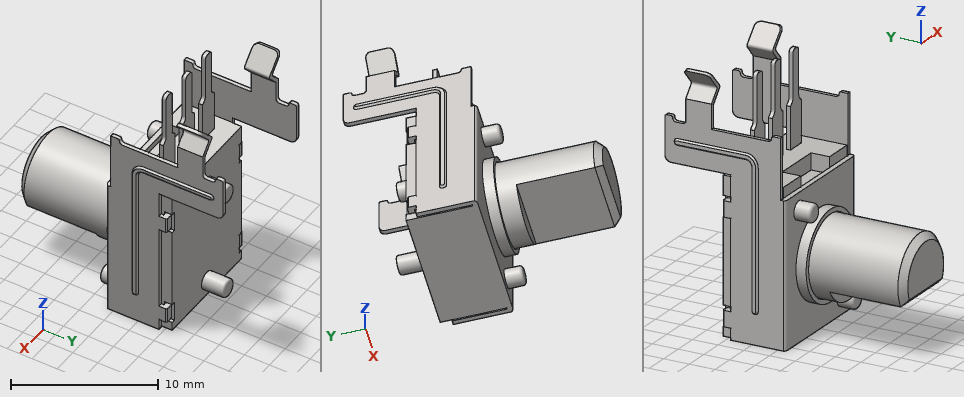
import cadquery as cq
import math


OVERALL_HEIGHT = 19.3

PLATE_HALF_WIDTH = 4.85
FRAME_HALF_HEIGHT = 5.5
PLATE_THICKNESS = 0.4
PLATE_CORNER_RADIUS = 0.37
HOUSING_HALF_WIDTH = 4.44
HOUSING_TOP = 6.3
HOUSING_BACK = 5.08
TOP_POCKET_HALF_WIDTH = 2.0
TOP_POCKET_BACK = 1.85
TOP_POCKET_DEPTH = 1.25

SIDE_THICKNESS = 0.3
SIDE_INNER = PLATE_HALF_WIDTH - SIDE_THICKNESS
SIDE_TOP = 9.63
SIDE_BACK = 4.27
LOBE_BACK = 9.4
LOBE_BOTTOM = 6.6
LOBE_CORNER_RADIUS = 0.5
EAR_ROUND = 0.15
EAR_FILLET = 0.25
EAR_TOP = SIDE_TOP + EAR_ROUND + EAR_FILLET
BACK_EAR_WIDTH = 0.62
FRONT_EAR_WIDTH = 0.7

CLIP_CENTER_Y = 6.77
CLIP_WIDTH = 2.0
CLIP_BACK = CLIP_CENTER_Y + CLIP_WIDTH / 2
CLIP_FRONT = CLIP_CENTER_Y - CLIP_WIDTH / 2
CLIP_BEND_RADIUS = 0.2
CLIP_TIP_RADIUS = 0.4
CLIP_TIP_X = 5.23
CLIP_TIP_INNER_X = 4.96
CLIP_TIP_Z = 13.7
CLIP_TOP = OVERALL_HEIGHT - FRAME_HALF_HEIGHT

LATCH_Z = 4.01
LATCH_HEIGHT = 1.2
LATCH_BACK = 4.9
LATCH_CHAMFER = 0.1
LATCH_HOOK_X = 4.25
NOTCH_HEIGHT = 1.58
NOTCH_FRONT = 4.45
NOTCH_X = 4.15

RIB_HEIGHT = 0.15
RIB_WIDTH = 0.5
RIB_TOP_WIDTH = 0.27
RIB_Z = 8.2
RIB_Y = 2.37
RIB_BACK = 8.67
RIB_BOTTOM = -3.25
RIB_BEND_RADIUS = 0.7

PIN_PITCH = 2.5
PIN_FRONT = 3.32
PIN_THICKNESS = 0.3
PIN_HALF_WIDTH = 0.75
PIN_TIP_HALF_WIDTH = 0.4
PIN_SHOULDER_HALF_WIDTH = 0.56
PIN_SHOULDER_BASE = 9.48
PIN_SHOULDER_EDGE = 9.65
PIN_SHOULDER_TOP = 9.94
PIN_SHOULDER_RADIUS = 0.35
PIN_TOP = 13.51
PIN_TIP_RADIUS = 0.29

PEG_RADIUS = 0.7
PEG_Z = 4.2
FRONT_PEG_X = 3.0
FRONT_PEG_LENGTH = 1.25
FRONT_PEG_ROUND = 0.25
BACK_PEG_LENGTH = 1.74
BACK_PEG_ROUND = 0.15

BUSH_RADIUS = 3.4
BUSH_LENGTH = 0.8
BORE_RADIUS = 3.05
SHAFT_RADIUS = 3.0
SHAFT_TIP = -8.2
SHAFT_FLAT_Z = -1.5
SHAFT_FLAT_START = -2.18
SHAFT_CHAMFER = 0.5


def box(x_range, y_range, z_range):
    """Box between two limits along each axis."""
    size = [high - low for low, high in (x_range, y_range, z_range)]
    return cq.Workplane("XY").box(*size, centered=False).translate((x_range[0], y_range[0], z_range[0]))


def cylinder(radius, y_start, y_end, x=0, z=0):
    """Cylinder along Y from y_start to y_end."""
    return (
        cq.Workplane("XZ", origin=(x, y_start, z))
        .circle(radius)
        .extrude(y_start - y_end)
    )


def make_front_plate():
    """Front plate with its two upright edges rounded where they bend into the side plates."""
    arc_depth = PLATE_CORNER_RADIUS - math.sqrt(PLATE_CORNER_RADIUS**2 - SIDE_THICKNESS**2)
    return (
        cq.Workplane("XY", origin=(0, 0, -FRAME_HALF_HEIGHT))
        .moveTo(-SIDE_INNER, 0)
        .lineTo(SIDE_INNER, 0)
        .radiusArc((PLATE_HALF_WIDTH, arc_depth), -PLATE_CORNER_RADIUS)
        .lineTo(PLATE_HALF_WIDTH, PLATE_THICKNESS)
        .lineTo(-PLATE_HALF_WIDTH, PLATE_THICKNESS)
        .lineTo(-PLATE_HALF_WIDTH, arc_depth)
        .radiusArc((-SIDE_INNER, 0), -PLATE_CORNER_RADIUS)
        .close()
        .extrude(2 * FRAME_HALF_HEIGHT)
    )


def make_housing_block():
    """Plain block with a pocket in its top and notches in its sides for the latch tabs."""
    block = box(
        (-HOUSING_HALF_WIDTH, HOUSING_HALF_WIDTH),
        (PLATE_THICKNESS, HOUSING_BACK),
        (-FRAME_HALF_HEIGHT, HOUSING_TOP),
    )
    block = block.cut(box(
        (-TOP_POCKET_HALF_WIDTH, TOP_POCKET_HALF_WIDTH),
        (PLATE_THICKNESS, TOP_POCKET_BACK),
        (HOUSING_TOP - TOP_POCKET_DEPTH, HOUSING_TOP),
    ))
    for z in (-LATCH_Z, LATCH_Z):
        notch = box(
            (NOTCH_X, HOUSING_HALF_WIDTH),
            (NOTCH_FRONT, HOUSING_BACK),
            (z - NOTCH_HEIGHT / 2, z + NOTCH_HEIGHT / 2),
        )
        block = block.cut(notch).cut(notch.mirror("YZ"))
    return block


def make_side_sheet():
    """Flat part of the +X side plate, with the two ears at its top and the lobe at its back."""
    back_ear_front = LOBE_BACK - BACK_EAR_WIDTH
    front_ear_back = PLATE_THICKNESS + FRONT_EAR_WIDTH
    round_start = EAR_TOP - EAR_ROUND
    fillet_end = SIDE_TOP + EAR_FILLET
    return (
        cq.Workplane("YZ", origin=(SIDE_INNER, 0, 0))
        .moveTo(PLATE_THICKNESS, -FRAME_HALF_HEIGHT)
        .lineTo(PLATE_THICKNESS, EAR_TOP)
        .lineTo(front_ear_back - EAR_ROUND, EAR_TOP)
        .radiusArc((front_ear_back, round_start), EAR_ROUND)
        .radiusArc((front_ear_back + EAR_FILLET, SIDE_TOP), -EAR_FILLET)
        .lineTo(CLIP_BACK + EAR_FILLET, SIDE_TOP)
        .lineTo(back_ear_front - EAR_FILLET, SIDE_TOP)
        .radiusArc((back_ear_front, fillet_end), -EAR_FILLET)
        .radiusArc((back_ear_front + EAR_ROUND, EAR_TOP), EAR_ROUND)
        .lineTo(LOBE_BACK - EAR_ROUND, EAR_TOP)
        .radiusArc((LOBE_BACK, round_start), EAR_ROUND)
        .lineTo(LOBE_BACK, LOBE_BOTTOM + LOBE_CORNER_RADIUS)
        .radiusArc((LOBE_BACK - LOBE_CORNER_RADIUS, LOBE_BOTTOM), LOBE_CORNER_RADIUS)
        .lineTo(SIDE_BACK, LOBE_BOTTOM)
        .lineTo(SIDE_BACK, -FRAME_HALF_HEIGHT)
        .close()
        .extrude(SIDE_THICKNESS)
    )


def make_clip():
    """Spring clip of the +X side plate: a strip bent inward, then outward to a rounded tip."""
    apex_z = 12.4
    apex_outer_x = 4.01
    apex_inner_x = 3.6
    outer_bend_z = 11.48
    inner_bend_z = 11.35
    strip = (
        cq.Workplane("XZ", origin=(0, CLIP_BACK, 0))
        .moveTo(SIDE_INNER, SIDE_TOP)
        .lineTo(PLATE_HALF_WIDTH, SIDE_TOP)
        .lineTo(PLATE_HALF_WIDTH, outer_bend_z)
        .lineTo(apex_outer_x, apex_z)
        .lineTo(CLIP_TIP_X, CLIP_TIP_Z)
        .lineTo(CLIP_TIP_INNER_X, CLIP_TOP)
        .lineTo(apex_inner_x, apex_z)
        .lineTo(SIDE_INNER, inner_bend_z)
        .close()
        .extrude(CLIP_WIDTH)
    )
    apex_margin = 0.04
    strip = strip.edges(cq.selectors.BoxSelector(
        (apex_inner_x - apex_margin, CLIP_FRONT, apex_z - apex_margin),
        (apex_outer_x + apex_margin, CLIP_BACK, apex_z + apex_margin),
    )).fillet(CLIP_BEND_RADIUS)
    tip_edges = strip.faces(cq.selectors.NearestToPointSelector(
        ((CLIP_TIP_X + CLIP_TIP_INNER_X) / 2, CLIP_CENTER_Y, CLIP_TOP)
    )).edges("not |Y")
    strip = tip_edges.fillet(CLIP_TIP_RADIUS)
    root_fillet = (
        cq.Workplane("YZ", origin=(SIDE_INNER, 0, 0))
        .moveTo(CLIP_BACK, SIDE_TOP)
        .lineTo(CLIP_BACK + EAR_FILLET, SIDE_TOP)
        .radiusArc((CLIP_BACK, SIDE_TOP + EAR_FILLET), EAR_FILLET)
        .close()
        .extrude(SIDE_THICKNESS)
    )
    return strip.union(root_fillet)


def make_latch(z):
    """Latch tab at the back edge of the +X side plate, hooked inward behind the notch."""
    z_range = (z - LATCH_HEIGHT / 2, z + LATCH_HEIGHT / 2)
    tab = box((SIDE_INNER, PLATE_HALF_WIDTH), (SIDE_BACK, LATCH_BACK), z_range)
    hook = box((LATCH_HOOK_X, SIDE_INNER), (NOTCH_FRONT, LATCH_BACK), z_range)
    return tab.union(hook).edges(">X and >Y").chamfer(LATCH_CHAMFER)


def make_rib():
    """L-shaped raised rib with sloping sides, on the outer face of the +X side plate."""
    half_width = RIB_WIDTH / 2
    outer_radius = RIB_BEND_RADIUS + half_width
    inner_radius = RIB_BEND_RADIUS - half_width
    bend_y = RIB_Y + RIB_BEND_RADIUS
    bend_z = RIB_Z - RIB_BEND_RADIUS
    back_end = RIB_BACK - half_width
    bottom_end = RIB_BOTTOM + half_width
    slope = math.degrees(math.atan((RIB_WIDTH - RIB_TOP_WIDTH) / 2 / RIB_HEIGHT))
    return (
        cq.Workplane("YZ", origin=(PLATE_HALF_WIDTH, 0, 0))
        .moveTo(RIB_Y - half_width, bottom_end)
        .lineTo(RIB_Y - half_width, bend_z)
        .radiusArc((bend_y, RIB_Z + half_width), outer_radius)
        .lineTo(back_end, RIB_Z + half_width)
        .threePointArc((RIB_BACK, RIB_Z), (back_end, RIB_Z - half_width))
        .lineTo(bend_y, RIB_Z - half_width)
        .radiusArc((RIB_Y + half_width, bend_z), -inner_radius)
        .lineTo(RIB_Y + half_width, bottom_end)
        .threePointArc((RIB_Y, RIB_BOTTOM), (RIB_Y - half_width, bottom_end))
        .close()
        .extrude(RIB_HEIGHT, taper=slope)
    )


def make_side_plate():
    """Complete +X side plate."""
    plate = make_side_sheet().union(make_clip()).union(make_rib())
    for z in (-LATCH_Z, LATCH_Z):
        plate = plate.union(make_latch(z))
    return plate


def make_pin(x):
    """Flat terminal pin that narrows at a curved shoulder and ends in a rounded tip."""
    return (
        cq.Workplane("XZ", origin=(x, PIN_FRONT, 0))
        .moveTo(-PIN_HALF_WIDTH, HOUSING_TOP)
        .lineTo(-PIN_HALF_WIDTH, PIN_SHOULDER_BASE)
        .lineTo(-PIN_SHOULDER_HALF_WIDTH, PIN_SHOULDER_EDGE)
        .radiusArc((-PIN_TIP_HALF_WIDTH, PIN_SHOULDER_TOP), -PIN_SHOULDER_RADIUS)
        .lineTo(-PIN_TIP_HALF_WIDTH, PIN_TOP)
        .lineTo(PIN_TIP_HALF_WIDTH, PIN_TOP)
        .lineTo(PIN_TIP_HALF_WIDTH, PIN_SHOULDER_TOP)
        .radiusArc((PIN_SHOULDER_HALF_WIDTH, PIN_SHOULDER_EDGE), -PIN_SHOULDER_RADIUS)
        .lineTo(PIN_HALF_WIDTH, PIN_SHOULDER_BASE)
        .lineTo(PIN_HALF_WIDTH, HOUSING_TOP)
        .close()
        .extrude(-PIN_THICKNESS)
        .edges("|Y and >Z")
        .fillet(PIN_TIP_RADIUS)
    )


def make_front_peg(x, z):
    """Locating peg on the front plate."""
    return cylinder(PEG_RADIUS, 0, -FRONT_PEG_LENGTH, x, z).faces("<Y").edges().fillet(FRONT_PEG_ROUND)


def make_back_peg(z):
    """Locating peg on the back of the housing."""
    peg = cylinder(PEG_RADIUS, HOUSING_BACK, HOUSING_BACK + BACK_PEG_LENGTH, 0, z)
    return peg.faces(">Y").edges().fillet(BACK_PEG_ROUND)


def make_body():
    """Fixed body: housing, metal frame, terminal pins, pegs and the bored bush."""
    body = make_housing_block().union(make_front_plate())
    side_plate = make_side_plate()
    body = body.union(side_plate).union(side_plate.mirror("YZ"))
    for x in (-PIN_PITCH, 0, PIN_PITCH):
        body = body.union(make_pin(x))
    for side in (-1, 1):
        body = body.union(make_front_peg(side * FRONT_PEG_X, -side * PEG_Z))
        body = body.union(make_back_peg(side * PEG_Z))
    body = body.union(cylinder(BUSH_RADIUS, 0, -BUSH_LENGTH))
    return body.cut(cylinder(BORE_RADIUS, PLATE_THICKNESS, -BUSH_LENGTH))


def make_shaft():
    """Shaft seated on the front of the housing, with a flat and a chamfered tip."""
    base = cylinder(SHAFT_RADIUS, PLATE_THICKNESS, SHAFT_FLAT_START)
    tip = cylinder(SHAFT_RADIUS, SHAFT_FLAT_START, SHAFT_TIP)
    below_flat = box(
        (-SHAFT_RADIUS, SHAFT_RADIUS),
        (SHAFT_TIP, SHAFT_FLAT_START),
        (-SHAFT_RADIUS, SHAFT_FLAT_Z),
    )
    tip = tip.cut(below_flat).faces("<Y").edges().chamfer(SHAFT_CHAMFER)
    return base.union(tip)


body = make_body()
shaft = make_shaft()
result = cq.Compound.makeCompound([body.val(), shaft.val()])